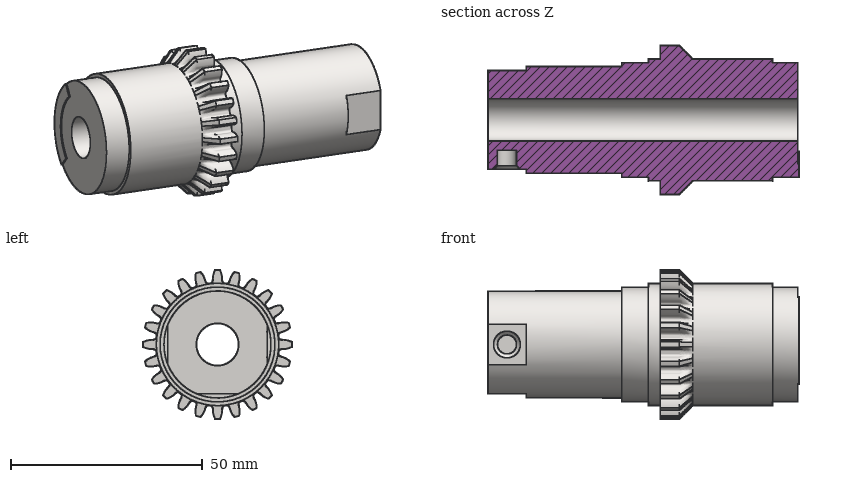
import cadquery as cq
import math

overall_length = 81.3
pad_height = 0.3
end_face_x = overall_length - pad_height
flat_length = 10.0
collar_x = 35.0
shoulder_x = 42.0
gear_x = 45.0
bevel_x = 50.0
nose_x = 74.4

stub_diameter = 28.0
collar_diameter = 30.0
body_diameter = 32.0
nose_diameter = collar_diameter
bore_diameter = 11.0

flat_distance = 12.9
hole_x = flat_length / 2
hole_diameter = 5.0
countersink_diameter = 7.0
countersink_angle = 90.0
hole_depth = 5.0

tooth_count = 24
outside_diameter = 39.0
pressure_angle = math.radians(14.5)
dedendum_factor = 1.25
root_fillet = 0.6
involute_steps = 4

pad_inner_radius = 11.4
pad_start_angle = 124.0
pad_end_angle = 224.0

module = outside_diameter / (tooth_count + 2)
pitch_radius = module * tooth_count / 2
base_radius = pitch_radius * math.cos(pressure_angle)
tip_radius = outside_diameter / 2
root_radius = pitch_radius - dedendum_factor * module
body_radius = body_diameter / 2
bevel_end_x = bevel_x + tip_radius - body_radius
tooth_pitch = 2 * math.pi / tooth_count


def involute(angle):
    return math.tan(angle) - angle


def tooth_half_angle(radius):
    """Half of the angle that one tooth spans at the given radius."""
    roll = math.acos(base_radius / radius)
    return tooth_pitch / 4 + involute(pressure_angle) - involute(roll)


def polar(x, radius, angle):
    """Point at a radius and an angle (radians, from +Y toward +Z) in the plane at x."""
    return cq.Vector(x, radius * math.cos(angle), radius * math.sin(angle))


def arc(x, radius, start, end):
    middle = (start + end) / 2
    return cq.Edge.makeThreePointArc(
        polar(x, radius, start), polar(x, radius, middle), polar(x, radius, end)
    )


tip_angle = tooth_half_angle(tip_radius)
foot_angle = tooth_half_angle(base_radius)

fillet_center_radius = root_radius + root_fillet
root_angle = foot_angle + math.asin(root_fillet / fillet_center_radius)
foot_radius = math.sqrt(fillet_center_radius**2 - root_fillet**2)


def gap(x, tooth_center):
    """Smooth curve from the tip of a tooth, through the root, to the tip of the next tooth."""
    step = (tip_radius - base_radius) / involute_steps
    radii = [tip_radius - i * step for i in range(involute_steps)] + [base_radius]
    half = [(r, tooth_half_angle(r)) for r in radii]
    half += [(foot_radius, foot_angle), (root_radius, root_angle)]
    gap_middle = tooth_pitch / 2
    mirrored = [(r, tooth_pitch - angle) for r, angle in reversed(half)]
    profile = half + [(root_radius, gap_middle)] + mirrored
    return cq.Edge.makeSpline([polar(x, r, tooth_center + angle) for r, angle in profile])


def gear_outline(x):
    edges = []
    for i in range(tooth_count):
        center = i * tooth_pitch
        edges.append(arc(x, tip_radius, center - tip_angle, center + tip_angle))
        edges.append(gap(x, center))
    return cq.Wire.assembleEdges(edges)


def run_out_outline(x):
    """Body circle split at the tip corners of the teeth, to pair with the gear outline."""
    edges = []
    for i in range(tooth_count):
        center = i * tooth_pitch
        edges.append(arc(x, body_radius, center - tip_angle, center + tip_angle))
        edges.append(arc(x, body_radius, center + tip_angle, center + tooth_pitch - tip_angle))
    return cq.Wire.assembleEdges(edges)


def cylinder(start, end, diameter):
    return cq.Workplane("YZ", origin=(start, 0, 0)).circle(diameter / 2).extrude(end - start)


def gear():
    """Straight teeth, then a 45 degree bevel where they run out to the body."""
    sections = [gear_outline(gear_x), gear_outline(bevel_x), run_out_outline(bevel_end_x)]
    return cq.Workplane(cq.Solid.makeLoft(sections, ruled=True))


def stub():
    """Round stub with flats on -Y, +Y and -Z at its free end."""
    height = flat_distance + stub_diameter / 2
    flatted_block = (
        cq.Workplane("XY", origin=(0, 0, -flat_distance))
        .box(flat_length, 2 * flat_distance, height, centered=(False, True, False))
    )
    flatted_end = cylinder(0, flat_length, stub_diameter).intersect(flatted_block)
    return flatted_end.union(cylinder(flat_length, collar_x, stub_diameter))


def end_pad():
    """Thin ring sector on the +X end face, flush with the outside of the nose."""
    start, end = math.radians(pad_start_angle), math.radians(pad_end_angle)
    outer_radius = nose_diameter / 2
    x = end_face_x
    outline = cq.Wire.assembleEdges([
        arc(x, outer_radius, start, end),
        cq.Edge.makeLine(polar(x, outer_radius, end), polar(x, pad_inner_radius, end)),
        arc(x, pad_inner_radius, end, start),
        cq.Edge.makeLine(polar(x, pad_inner_radius, start), polar(x, outer_radius, start)),
    ])
    return cq.Workplane(cq.Solid.extrudeLinear(outline, [], cq.Vector(pad_height, 0, 0)))


def drill_set_screw_hole(shaft):
    """Blind countersunk hole square to the -Y flat."""
    flat_plane = cq.Workplane("XZ", origin=(hole_x, -flat_distance, 0))
    return shaft.copyWorkplane(flat_plane).cskHole(
        hole_diameter, countersink_diameter, countersink_angle, hole_depth
    )


shaft = (
    stub()
    .union(cylinder(collar_x, shoulder_x, collar_diameter))
    .union(cylinder(shoulder_x, gear_x, body_diameter))
    .union(gear())
    .union(cylinder(bevel_end_x, nose_x, body_diameter))
    .union(cylinder(nose_x, end_face_x, nose_diameter))
    .union(end_pad())
    .cut(cylinder(0, overall_length, bore_diameter))
)
result = drill_set_screw_hole(shaft)